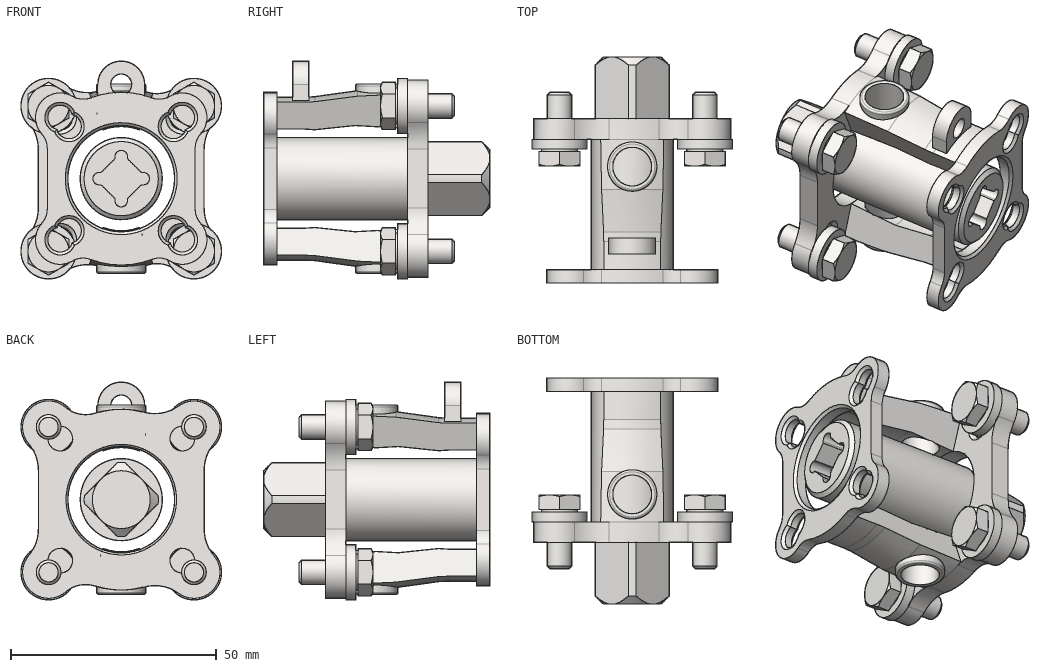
import cadquery as cq
import math


LENGTH_TOLERANCE = 0.005

FRONT_FLANGE_THICK = 3.3
BRACKET_LENGTH = 40.0
REAR_FLANGE_THICK = 5.0
REAR_FLANGE_FRONT = BRACKET_LENGTH - REAR_FLANGE_THICK
SHAFT_LENGTH = 55.0

BORE_DIA = 25.9
FRONT_BORE_CHAMFER = 0.65
REAR_BORE_CHAMFER = 0.5
FRONT_ARC_RADIUS = 21.0
FRONT_SIDE_HALF = 18.0
FRONT_LOBE_RADIUS = 6.0
FRONT_BLEND = 5.0
REAR_ARC_RADIUS = 22.0
REAR_SIDE_HALF = 20.2
REAR_LOBE_RADIUS = 6.3
REAR_BLEND = 10.0
REAR_SMALL_BLEND = 7.5

INNER_HOLE_OFFSET = 12.7
MIDDLE_HOLE_OFFSET = 14.85
BOLT_CIRCLE_DIA = 50.0
BOLT_OFFSET = BOLT_CIRCLE_DIA / 2 / math.sqrt(2)
MOUNT_HOLE_DIA = 6.0
FRONT_HOLE_CHAMFER = 0.7
REAR_HOLE_CHAMFER = 1.0

ARM_HALF_ANGLE = 20.4
SLOPE_RUNOUT = 10.1
OUTER_SLOPE_START = 22.75
INNER_SLOPE_START = 22.2
SLOPE_END = 12.45
ARM_OUTER_REAR = REAR_ARC_RADIUS
ARM_OUTER_PEAK = 21.4
ARM_OUTER_SLOPE_END = 19.95
ARM_OUTER_FRONT = 19.85
ARM_INNER_REAR = 13.0
ARM_INNER_PEAK = 13.75
ARM_INNER_SLOPE_END = 12.65
ARM_INNER_FRONT = 12.8

BOSS_Y = 28.3
BOSS_DIA = 12.0
BOSS_HOLE_DIA = 9.4
BOSS_TOP = 23.05
BOSS_FILLET = 0.5

LUG_FRONT = 7.05
LUG_THICK = 3.95
LUG_RADIUS = 5.7
LUG_TOP = 28.6
LUG_CENTRE_Z = LUG_TOP - LUG_RADIUS
LUG_HOLE_DIA = 5.05

SHAFT_DIA = 20.0
SHAFT_ROUND_LENGTH = 38.0
SHAFT_CHAMFER = 1.0
SQUARE_FLATS = 14.0
SQUARE_CORNER_DIA = 18.05
SQUARE_CHAMFER = 2.0
SOCKET_FLATS = 9.0
SOCKET_RELIEF_DIA = 3.0
SOCKET_RELIEF_SPAN = 13.75
SOCKET_DEPTH = 10.0

BOLT_DIA = 6.0
BOLT_END = 46.4
BOLT_TIP_CHAMFER = 0.65
WASHER_DIA = 13.5
WASHER_THICK = 2.4
WASHER_FRONT = REAR_FLANGE_FRONT - WASHER_THICK
HEAD_COLLAR_DIA = 8.85
HEAD_COLLAR_THICK = 0.55
HEX_FLATS = 10.0
HEX_CORNER_DIA = HEX_FLATS / math.cos(math.radians(30))
HEX_THICK = 3.6
HEX_REAR = WASHER_FRONT - HEAD_COLLAR_THICK
HEX_FRONT = HEX_REAR - HEX_THICK
HEX_CHAMFER_ANGLE = 30


def plane_at(y):
    """Workplane across the Y axis: local x is X, local y is Z, and a negative extrusion runs toward +Y."""
    return cq.Workplane(cq.Plane(origin=(0, y, 0), xDir=(1, 0, 0), normal=(0, -1, 0)))


def cylinder(dia, y_start, y_end, x=0, z=0):
    """Round bar parallel to Y."""
    return plane_at(y_start).center(x, z).circle(dia / 2).extrude(y_start - y_end)


def square_places(offset):
    """The four points at +-offset in X and Z."""
    return [(x, z) for x in (-offset, offset) for z in (-offset, offset)]


def chamfered_hole(dia, chamfer, y_start, y_end, x=0, z=0):
    """Cutter for a hole parallel to Y with a 45 degree chamfer at its y_start mouth."""
    radius = dia / 2
    chamfer_end = y_start + math.copysign(chamfer, y_end - y_start)
    profile = [
        (0, y_start),
        (radius + chamfer, y_start),
        (radius, chamfer_end),
        (radius, y_end),
        (0, y_end),
    ]
    cutter = cq.Workplane("XY").polyline(profile).close().revolve(360, (0, 0), (0, 1))
    return cutter.translate((x, 0, z))


def flange_blank(y_start, thick, arc_radius, side_half, lobe_offset, lobe_radius, blend, right_blend):
    """Disc with flat sides, filled out to four corner lobes.

    The inner corners are rounded with blend, except those between arc and lobe at +X, which take right_blend.
    """
    y_end = y_start + thick
    disc = cylinder(2 * arc_radius, y_start, y_end)
    slab = plane_at(y_start).rect(2 * side_half, 2 * arc_radius).extrude(-thick)
    core = plane_at(y_start).rect(2 * side_half, 2 * lobe_offset).extrude(-thick)
    blank = disc.intersect(slab).union(core)
    for x, z in square_places(lobe_offset):
        blank = blank.union(cylinder(2 * lobe_radius, y_start, y_end, x, z))

    def is_arc_corner_right(edge):
        return 0 < edge.Center().x < lobe_offset

    def is_other_corner(edge):
        within_sides = abs(edge.Center().x) < side_half + LENGTH_TOLERANCE
        return within_sides and not is_arc_corner_right(edge)

    blank = blank.edges("|Y").filter(is_other_corner).fillet(blend)
    return blank.edges("|Y").filter(is_arc_corner_right).fillet(right_blend)


def make_arms():
    """Both arms: a ring wall turned about Y, kept only inside two opposite wedges with radial sides."""
    wall_profile = [
        (ARM_OUTER_FRONT, FRONT_FLANGE_THICK),
        (ARM_OUTER_FRONT, SLOPE_RUNOUT),
        (ARM_OUTER_SLOPE_END, SLOPE_END),
        (ARM_OUTER_PEAK, OUTER_SLOPE_START),
        (ARM_OUTER_REAR, REAR_FLANGE_FRONT),
        (ARM_INNER_REAR, REAR_FLANGE_FRONT),
        (ARM_INNER_PEAK, INNER_SLOPE_START),
        (ARM_INNER_SLOPE_END, SLOPE_END),
        (ARM_INNER_FRONT, SLOPE_RUNOUT),
        (ARM_INNER_FRONT, FRONT_FLANGE_THICK),
    ]
    wall = cq.Workplane("XY").polyline(wall_profile).close().revolve(360, (0, 0), (0, 1))
    wedge_half_width = ARM_OUTER_REAR * math.tan(math.radians(ARM_HALF_ANGLE))
    upper_wedge = (
        plane_at(FRONT_FLANGE_THICK)
        .polyline([(0, 0), (wedge_half_width, ARM_OUTER_REAR), (-wedge_half_width, ARM_OUTER_REAR)])
        .close()
        .extrude(FRONT_FLANGE_THICK - REAR_FLANGE_FRONT)
    )
    return wall.intersect(upper_wedge.union(upper_wedge.mirror("XY")))


def make_bosses():
    """Round bosses rising from the middle of each arm wall, rounded at the outer rim; not yet drilled."""
    bosses = cq.Workplane("XY").center(0, BOSS_Y).circle(BOSS_DIA / 2).extrude(BOSS_TOP, both=True)
    bosses = bosses.faces("<Z or >Z").edges().fillet(BOSS_FILLET)
    arm_mid_dia = ARM_INNER_PEAK + ARM_OUTER_PEAK
    core = cylinder(arm_mid_dia, 0, BRACKET_LENGTH)
    return bosses.cut(core)


def make_lug():
    """Round-topped ear on the upper arm, running down into the arm wall."""
    lug_foot = (ARM_INNER_FRONT + ARM_OUTER_FRONT) / 2
    lug = (
        plane_at(LUG_FRONT)
        .moveTo(-LUG_RADIUS, lug_foot)
        .lineTo(LUG_RADIUS, lug_foot)
        .lineTo(LUG_RADIUS, LUG_CENTRE_Z)
        .threePointArc((0, LUG_TOP), (-LUG_RADIUS, LUG_CENTRE_Z))
        .close()
        .extrude(-LUG_THICK)
    )
    return lug.cut(cylinder(LUG_HOLE_DIA, LUG_FRONT, LUG_FRONT + LUG_THICK, 0, LUG_CENTRE_Z))


def make_front_flange():
    """Flange with a bore and, at each corner, two overlapping holes chamfered at both mouths."""
    flange = flange_blank(
        0, FRONT_FLANGE_THICK, FRONT_ARC_RADIUS, FRONT_SIDE_HALF,
        MIDDLE_HOLE_OFFSET, FRONT_LOBE_RADIUS, FRONT_BLEND, FRONT_BLEND,
    )
    flange = flange.cut(chamfered_hole(BORE_DIA, FRONT_BORE_CHAMFER, 0, FRONT_FLANGE_THICK))
    for x, z in square_places(INNER_HOLE_OFFSET) + square_places(MIDDLE_HOLE_OFFSET):
        for y_start, y_end in ((0, FRONT_FLANGE_THICK), (FRONT_FLANGE_THICK, 0)):
            flange = flange.cut(
                chamfered_hole(MOUNT_HOLE_DIA, FRONT_HOLE_CHAMFER, y_start, y_end, x, z)
            )
    return flange


def make_rear_flange():
    """Flange with a bore and, at each corner, a bolt hole overlapped by a chamfered mounting hole."""
    flange = flange_blank(
        REAR_FLANGE_FRONT, REAR_FLANGE_THICK, REAR_ARC_RADIUS, REAR_SIDE_HALF,
        BOLT_OFFSET, REAR_LOBE_RADIUS, REAR_BLEND, REAR_SMALL_BLEND,
    )
    flange = flange.cut(chamfered_hole(BORE_DIA, REAR_BORE_CHAMFER, BRACKET_LENGTH, REAR_FLANGE_FRONT))
    for x, z in square_places(MIDDLE_HOLE_OFFSET):
        flange = flange.cut(
            chamfered_hole(MOUNT_HOLE_DIA, REAR_HOLE_CHAMFER, REAR_FLANGE_FRONT, BRACKET_LENGTH, x, z)
        )
    for x, z in square_places(BOLT_OFFSET):
        flange = flange.cut(cylinder(BOLT_DIA, REAR_FLANGE_FRONT, BRACKET_LENGTH, x, z))
    return flange


def make_bracket():
    """Both flanges, arms, bosses and lug as one solid, with the bosses drilled through."""
    bracket = make_front_flange()
    for part in (make_arms(), make_bosses(), make_lug(), make_rear_flange()):
        bracket = bracket.union(part)
    boss_hole = (
        cq.Workplane("XY").center(0, BOSS_Y).circle(BOSS_HOLE_DIA / 2).extrude(BOSS_TOP, both=True)
    )
    return bracket.cut(boss_hole)


def make_socket():
    """Cutter for the square socket, standing on its corner, with a rounded relief at each corner."""
    socket = (
        plane_at(0).transformed(rotate=(0, 0, 45)).rect(SOCKET_FLATS, SOCKET_FLATS).extrude(-SOCKET_DEPTH)
    )
    for angle in (0, 90):
        relief = plane_at(0).slot2D(SOCKET_RELIEF_SPAN, SOCKET_RELIEF_DIA, angle)
        socket = socket.union(relief.extrude(-SOCKET_DEPTH))
    return socket


def make_shaft():
    """Round shaft with a square drive end at the rear and a square socket in the front face."""
    body = cylinder(SHAFT_DIA, 0, SHAFT_ROUND_LENGTH).faces("<Y").chamfer(SHAFT_CHAMFER)
    end_round = cylinder(SQUARE_CORNER_DIA, SHAFT_ROUND_LENGTH, SHAFT_LENGTH)
    end_round = end_round.faces(">Y").chamfer(SQUARE_CHAMFER)
    end_square = (
        plane_at(SHAFT_ROUND_LENGTH)
        .transformed(rotate=(0, 0, 45))
        .rect(SQUARE_FLATS, SQUARE_FLATS)
        .extrude(SHAFT_ROUND_LENGTH - SHAFT_LENGTH)
    )
    return body.union(end_round.intersect(end_square)).cut(make_socket())


def make_bolt(x, z):
    """Hexagon bolt with a washer face under the head."""
    shank = cylinder(BOLT_DIA, HEX_REAR, BOLT_END).faces(">Y").chamfer(BOLT_TIP_CHAMFER)
    collar = cylinder(HEAD_COLLAR_DIA, HEX_REAR, WASHER_FRONT)
    hexagon = (
        plane_at(HEX_FRONT)
        .transformed(rotate=(0, 0, 90))
        .polygon(6, HEX_CORNER_DIA)
        .extrude(-HEX_THICK)
    )
    chamfer_width = (HEX_CORNER_DIA - HEX_FLATS) / 2
    chamfer_depth = chamfer_width * math.tan(math.radians(HEX_CHAMFER_ANGLE))
    head_round = cylinder(HEX_CORNER_DIA, HEX_FRONT, HEX_REAR)
    head_round = head_round.faces("<Y").edges().chamfer(chamfer_depth, chamfer_width)
    return shank.union(collar).union(hexagon.intersect(head_round)).translate((x, 0, z))


def make_washer(x, z):
    """Thick plain washer between bolt head and rear flange."""
    washer = cylinder(WASHER_DIA, WASHER_FRONT, REAR_FLANGE_FRONT)
    return washer.cut(cylinder(BOLT_DIA, WASHER_FRONT, REAR_FLANGE_FRONT)).translate((x, 0, z))


bracket = make_bracket()
shaft = make_shaft()
bolts = [make_bolt(x, z) for x, z in square_places(BOLT_OFFSET)]
washers = [make_washer(x, z) for x, z in square_places(BOLT_OFFSET)]

result = cq.Compound.makeCompound(
    [
        bracket.val(),
        shaft.val(),
        *[bolt.val() for bolt in bolts],
        *[washer.val() for washer in washers],
    ]
)